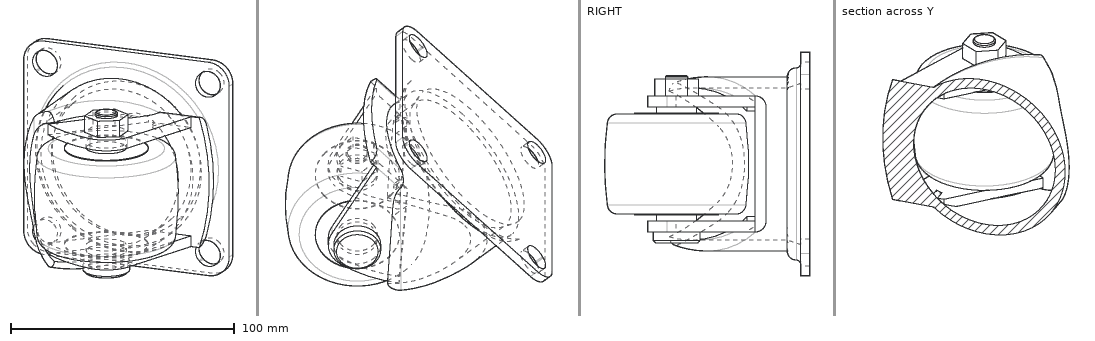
import cadquery as cq
import math


plate_side = 100.0
plate_thick = 4.2
plate_corner = 10.0
slot_offset = 39.6
slot_width = 11.6
slot_length = 12.2

outer_radius = 39.0
wall = 5.0
inner_radius = outer_radius - wall
flare_radius = inner_radius + 2.0
race_foot_radius = 45.0
race_radius = 43.0
race_foot_y = -6.0
race_end_y = -10.2
bend_radius = 5.0

axle_x = 14.0
wheel_radius = 32.2
axle_y = -(91.8 - wheel_radius)
wheel_half_width = 22.4
tread_half_width = 18.4
tread_edge_radius = 31.0
wheel_face_radius = 26.0
hub_radius = 18.8
hub_half_width = 22.8
bushing_radius = 9.0

arm_inner_z = 25.4
arm_outer_z = arm_inner_z + wall
arm_end_radius = 13.0
arm_belly_angle = -101.5
fold_start = (-9.7, -63.0)
fold_end = (24.5, -28.2)
tab_top_y = -19.6
tab_bottom_y = tab_top_y - wall
tab_bend_radius = 4.9
tab_reach = 49.0
tab_corner_x = 44.2
tab_root_x = fold_end[0] - bend_radius
arm_edge_top = (40.2, tab_bottom_y)

arm_corner = (-14.2, -59.8)
edge_top = (-outer_radius, -29.2)
edge_upper_mid = (-inner_radius, -34.6)
edge_middle = (-28.5, -42.7)
edge_lower_mid = (-17.0, -57.0)
arm_belly = (-2.5, -67.4)

nut_flats = 17.0
nut_end_z = 38.0
bolt_radius = 5.0
bolt_end_z = 39.5
bolt_chamfer = 0.6
head_radius = 10.5
head_height = 5.0
head_chamfer = 1.2


def cylinder_y(radius, start_y, end_y):
    """Cylinder about the Y axis, from start_y down to end_y."""
    return cq.Workplane("XZ", origin=(0, start_y, 0)).circle(radius).extrude(start_y - end_y)


def axle_disc(radius, start_z, end_z):
    """Cylinder about the wheel axle."""
    return cq.Workplane("XY", origin=(axle_x, axle_y, start_z)).circle(radius).extrude(end_z - start_z)


def make_plate():
    plate = cq.Workplane("XZ").rect(plate_side, plate_side).extrude(plate_thick)
    plate = plate.edges("|Y").fillet(plate_corner)
    for side_x in (-1, 1):
        for side_z in (-1, 1):
            slot = (
                cq.Workplane("XZ")
                .center(side_x * slot_offset, side_z * slot_offset)
                .transformed(rotate=(0, 0, 45 * side_x * side_z))
                .slot2D(slot_length, slot_width)
                .extrude(plate_thick)
            )
            plate = plate.cut(slot)
    return plate


def make_race():
    """Ring with a concave foot on the plate and a rounded outer rim."""
    foot_radius = race_foot_radius - race_radius
    foot_drop = -plate_thick - race_foot_y
    rim_radius = race_radius - outer_radius
    rim_drop = race_foot_y - race_end_y
    diagonal = math.sqrt(0.5)
    foot_mid = (race_foot_radius - foot_radius * diagonal, race_foot_y + foot_drop * diagonal)
    rim_mid = (outer_radius + rim_radius * diagonal, race_foot_y - rim_drop * diagonal)
    return (
        cq.Workplane("XY")
        .moveTo(inner_radius, -plate_thick / 2)
        .lineTo(race_foot_radius, -plate_thick / 2)
        .lineTo(race_foot_radius, -plate_thick)
        .threePointArc(foot_mid, (race_radius, race_foot_y))
        .threePointArc(rim_mid, (outer_radius, race_end_y))
        .lineTo(inner_radius, race_end_y)
        .close()
        .revolve(360, (0, 0, 0), (0, 1, 0))
    )


def make_flare():
    """Cone that widens the bore from the race rim to the plate."""
    return (
        cq.Workplane("XY")
        .moveTo(0, -plate_thick)
        .lineTo(flare_radius, -plate_thick)
        .lineTo(inner_radius, race_end_y)
        .lineTo(0, race_end_y)
        .close()
        .revolve(360, (0, 0, 0), (0, 1, 0))
    )


def fold_x(y):
    """X of the slanted fold line at a given Y."""
    slope = (fold_end[0] - fold_start[0]) / (fold_end[1] - fold_start[1])
    return fold_start[0] + (y - fold_start[1]) * slope


def make_wall():
    """Tube ending at the fold, its outer edge rounded, trimmed by the front edge."""
    low_y = -plate_side
    half_size = 2 * outer_radius
    slant = (
        cq.Workplane("XY", origin=(0, 0, -half_size))
        .polyline([(fold_x(0), 0), (-half_size, 0), (-half_size, low_y), (fold_x(low_y), low_y)])
        .close()
        .extrude(2 * half_size)
    )
    core = cylinder_y(outer_radius, -plate_thick, low_y).intersect(slant)
    core = core.edges("%ELLIPSE").fillet(bend_radius)
    front = (
        cq.Workplane("XY", origin=(0, 0, -half_size))
        .moveTo(-outer_radius, -plate_thick)
        .lineTo(*edge_top)
        .threePointArc(edge_upper_mid, edge_middle)
        .threePointArc(edge_lower_mid, fold_start)
        .lineTo(fold_end[0], fold_start[1])
        .lineTo(fold_end[0], -plate_thick)
        .close()
        .extrude(2 * half_size)
    )
    tail_depth = -tab_bottom_y - plate_thick
    tail_trim = (
        cq.Workplane("XY")
        .box(outer_radius, tail_depth, 2 * outer_radius, centered=(False, False, True))
        .translate((fold_end[0], tab_bottom_y, 0))
    )
    tail = cylinder_y(outer_radius, -plate_thick, low_y).intersect(tail_trim)
    return core.intersect(front).union(tail).cut(cylinder_y(inner_radius, -plate_thick, low_y))


def make_arms():
    """Two flat arms, rounded about the axle and running up to the tab."""
    reach_x = arm_edge_top[0] - axle_x
    reach_y = arm_edge_top[1] - axle_y
    tangent_angle = math.atan2(reach_y, reach_x) - math.acos(arm_end_radius / math.hypot(reach_x, reach_y))
    belly_angle = math.radians(arm_belly_angle)
    mid_angle = (tangent_angle + belly_angle) / 2

    def end_point(angle):
        return (axle_x + arm_end_radius * math.cos(angle), axle_y + arm_end_radius * math.sin(angle))

    outline = (
        cq.Workplane("XY", origin=(0, 0, arm_inner_z))
        .moveTo(*arm_corner)
        .threePointArc(arm_belly, end_point(belly_angle))
        .threePointArc(end_point(mid_angle), end_point(tangent_angle))
        .lineTo(*arm_edge_top)
        .lineTo(fold_end[0], tab_bottom_y)
        .lineTo(tab_root_x, tab_bottom_y)
        .close()
        .extrude(wall)
    )
    return outline.union(outline.mirror("XY"))


def make_tab():
    """Cross plate with a bowed free edge, rounded where it meets the arms, clear of the tube bore."""
    tab = (
        cq.Workplane("XZ", origin=(0, tab_top_y, 0))
        .moveTo(fold_end[0], -arm_outer_z)
        .lineTo(tab_corner_x, -arm_outer_z)
        .threePointArc((tab_reach, 0), (tab_corner_x, arm_outer_z))
        .lineTo(fold_end[0], arm_outer_z)
        .close()
        .extrude(wall)
    )
    tab = tab.edges("|X and >Y").fillet(tab_bend_radius)
    return tab.cut(cylinder_y(inner_radius, 0, axle_y))


def make_wheel():
    """Crowned wheel with rounded shoulders, plus raised hub faces and bushings."""
    shoulder_x = wheel_face_radius + (tread_edge_radius - wheel_face_radius) * math.sqrt(0.5)
    shoulder_z = tread_half_width + (wheel_half_width - tread_half_width) * math.sqrt(0.5)
    wheel = (
        cq.Workplane("XZ")
        .moveTo(0, -wheel_half_width)
        .lineTo(wheel_face_radius, -wheel_half_width)
        .threePointArc((shoulder_x, -shoulder_z), (tread_edge_radius, -tread_half_width))
        .threePointArc((wheel_radius, 0), (tread_edge_radius, tread_half_width))
        .threePointArc((shoulder_x, shoulder_z), (wheel_face_radius, wheel_half_width))
        .lineTo(0, wheel_half_width)
        .close()
        .revolve(360, (0, 0, 0), (0, 1, 0))
        .translate((axle_x, axle_y, 0))
    )
    wheel = wheel.union(axle_disc(hub_radius, -hub_half_width, hub_half_width))
    return wheel.union(axle_disc(bushing_radius, -arm_inner_z, arm_inner_z))


def make_bolt():
    """Bolt end and hexagon nut on +Z, round bolt head on -Z."""
    nut = (
        cq.Workplane("XY", origin=(axle_x, axle_y, arm_outer_z))
        .polygon(6, nut_flats, circumscribed=True)
        .extrude(nut_end_z - arm_outer_z)
    )
    tip = axle_disc(bolt_radius, arm_outer_z, bolt_end_z).faces(">Z").chamfer(bolt_chamfer)
    head = axle_disc(head_radius, -arm_outer_z - head_height, -arm_outer_z)
    head = head.faces("<Z").chamfer(head_chamfer)
    return nut.union(tip).union(head)


fork = make_race().union(make_wall()).cut(make_flare())
result = make_plate()
for piece in (fork, make_arms(), make_tab(), make_wheel(), make_bolt()):
    result = result.union(piece)